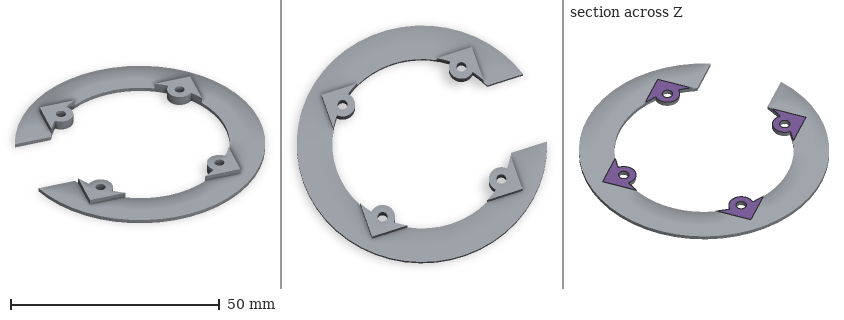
import cadquery as cq

outer_radius = 29.95
inner_radius = 21.45
ring_thickness = 0.95
gap_width = 17.95

total_height = 2.4
pad_square_side = 37.9
boss_spacing = 29.95
boss_diameter = 6.0
hole_diameter = 2.4


def at_boss_centers():
    """Workplane with one point at each boss axis."""
    return cq.Workplane("XY").rect(boss_spacing, boss_spacing, forConstruction=True).vertices()


disc = cq.Workplane("XY").circle(outer_radius).extrude(ring_thickness)
square = cq.Workplane("XY").rect(pad_square_side, pad_square_side).extrude(total_height)
bore = cq.Workplane("XY").circle(inner_radius).extrude(total_height)
body = disc.union(square).cut(bore)

gap = (
    cq.Workplane("XY")
    .center(0, -outer_radius / 2)
    .rect(gap_width, outer_radius)
    .extrude(total_height)
)
body = body.cut(gap)

bosses = at_boss_centers().circle(boss_diameter / 2).extrude(total_height)
holes = at_boss_centers().circle(hole_diameter / 2).extrude(total_height)

result = body.union(bosses).cut(holes)